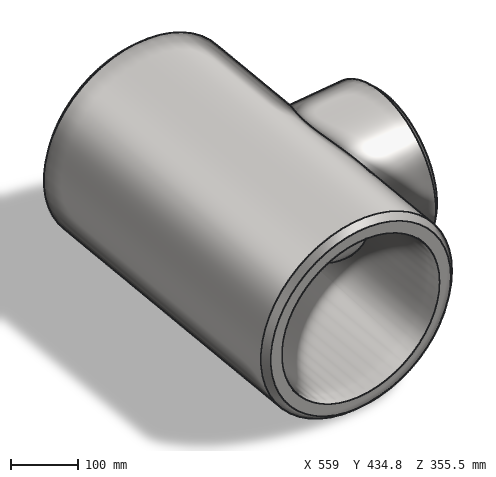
import cadquery as cq

run_length = 559.0
run_diameter = 355.5
wall = 31.5
branch_diameter = 273.0
branch_reach = 257.0
end_chamfer = 10.5

run_bore = run_diameter - 2 * wall
branch_bore = branch_diameter - 2 * wall


def run_cylinder(diameter):
    """Cylinder along X, centred on the origin."""
    return cq.Workplane("YZ").circle(diameter / 2).extrude(run_length / 2, both=True)


def branch_cylinder(diameter):
    """Cylinder from the run axis out to the branch end."""
    return cq.Workplane("XZ").circle(diameter / 2).extrude(-branch_reach)


run = run_cylinder(run_diameter).faces("<X or >X").chamfer(end_chamfer)
branch = branch_cylinder(branch_diameter).faces(">Y").chamfer(end_chamfer)

result = (
    run.union(branch)
    .cut(run_cylinder(run_bore))
    .cut(branch_cylinder(branch_bore))
)